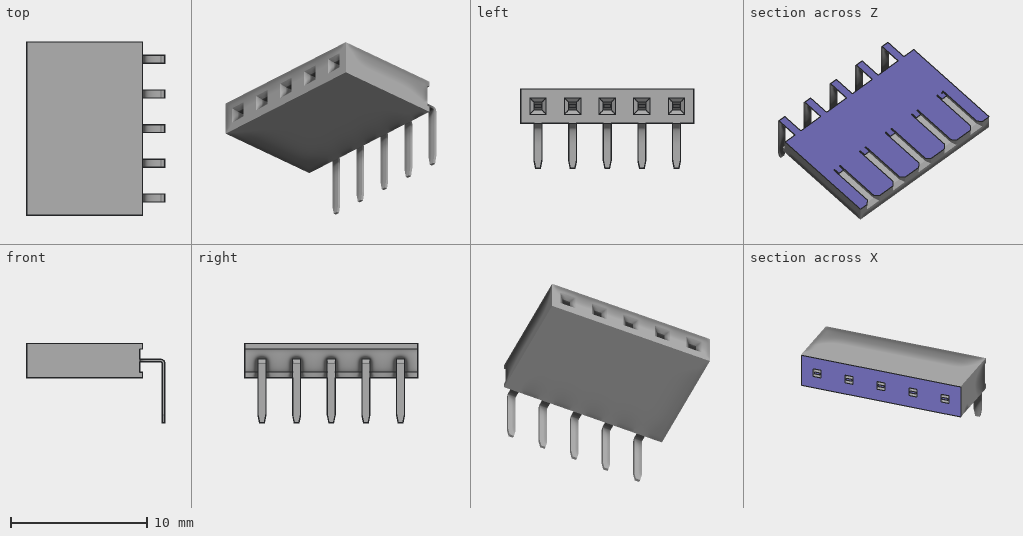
import cadquery as cq


pin_count = 5
pitch = 2.54
housing_length = 8.5
housing_width = pin_count * pitch
housing_height = pitch
recess_depth = 0.2
recess_height = 1.7

mouth_size = 1.2
bore_size = 0.6
funnel_depth = 0.3
bore_depth = 4.0

overall_length = 10.13
overall_height = 5.84
pin_width = 0.6
pin_thickness = 0.2
bend_outer_radius = 0.3
bend_inner_radius = bend_outer_radius - pin_thickness
tip_length = 0.6
tip_width = 0.35
contact_width = 0.5
contact_length = 0.5

front_x = -housing_length / 2
back_x = housing_length / 2
leg_outer_x = front_x + overall_length
leg_inner_x = leg_outer_x - pin_thickness
pin_top_z = pin_thickness / 2
pin_bottom_z = -pin_thickness / 2
tip_z = housing_height / 2 - overall_height
bore_floor_x = front_x + bore_depth


def make_housing():
    """Block with a shallow recess running along its whole +X face."""
    block = cq.Workplane("XY").box(housing_length, housing_width, housing_height)
    recess = cq.Workplane("XY").box(2 * recess_depth, housing_width, recess_height)
    return block.cut(recess.translate((back_x, 0, 0)))


def make_socket():
    """Volume removed for the socket at Y = 0."""
    bore = (
        cq.Workplane("YZ", origin=(front_x, 0, 0))
        .rect(bore_size, bore_size)
        .extrude(bore_depth)
    )
    funnel = (
        cq.Workplane("YZ", origin=(front_x, 0, 0))
        .rect(mouth_size, mouth_size)
        .workplane(offset=funnel_depth)
        .rect(bore_size, bore_size)
        .loft(ruled=True)
    )
    return bore.union(funnel)


def make_contact():
    """Flat contact end standing on the socket floor at Y = 0."""
    contact = cq.Workplane("XY").box(contact_length, contact_width, pin_thickness)
    return contact.translate((bore_floor_x - contact_length / 2, 0, 0))


def make_pin():
    """Bent strip at Y = 0 with a tip that narrows in width."""
    strip = (
        cq.Workplane("XZ")
        .moveTo(0, pin_top_z)
        .lineTo(leg_outer_x - bend_outer_radius, pin_top_z)
        .radiusArc((leg_outer_x, pin_top_z - bend_outer_radius), bend_outer_radius)
        .lineTo(leg_outer_x, tip_z)
        .lineTo(leg_inner_x, tip_z)
        .lineTo(leg_inner_x, pin_bottom_z - bend_inner_radius)
        .radiusArc((leg_inner_x - bend_inner_radius, pin_bottom_z), -bend_inner_radius)
        .lineTo(0, pin_bottom_z)
        .close()
        .extrude(pin_width / 2, both=True)
    )
    for side in (-1, 1):
        corner = (
            cq.Workplane("YZ", origin=(leg_inner_x, 0, 0))
            .moveTo(side * pin_width / 2, tip_z + tip_length)
            .lineTo(side * pin_width / 2, tip_z)
            .lineTo(side * tip_width / 2, tip_z)
            .close()
            .extrude(pin_thickness)
        )
        strip = strip.cut(corner)
    return strip


socket = make_socket()
contact = make_contact()
pin = make_pin()

result = make_housing()
for index in range(pin_count):
    offset = (0, (index - (pin_count - 1) / 2) * pitch, 0)
    result = result.cut(socket.translate(offset))
    result = result.union(contact.translate(offset))
    result = result.union(pin.translate(offset))